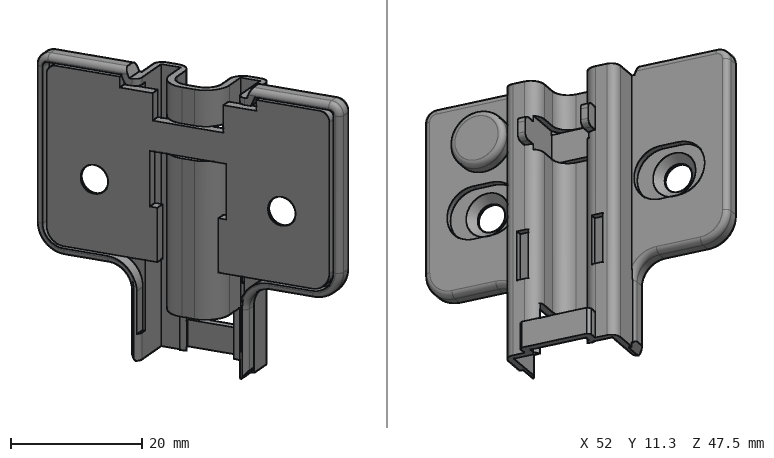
import cadquery as cq
width = 52.0
height = 47.5
plate_depth = 3.5
wall = 1.15
edge_radius = 1.0
over = 5.2

plate_half = width / 2
plate_bottom = 15.15
neck_half = 9.95
top_corner_radius = 2.1
bottom_corner_radius = 4.8
neck_corner_radius = 3.8

rim = 1.25
neck_rim = 1.1
pocket_depth = plate_depth - wall
pocket_neck_radius = 4.95

box_half = 9.55
box_depth = 8.95
box_top = 45.85
box_corner_radius = 1.55
channel_half = box_half - wall
channel_depth = box_depth - wall

trough_half = 5.1
trough_wall = 1.3
trough_radius = 4.0
shoulder_radius = 2.3
trough_end = 8.55
wall_stub_outer_depth = 7.55
wall_stub_inner_depth = 7.65

notch_bottom_half = 10.0
notch_top_half = 10.7
notch_slope = (notch_top_half - notch_bottom_half) / (height - box_top)
notch_rim_half = 10.7

neck_chamfer_height = 1.25
neck_chamfer_width = 0.95

insert_half = 24.1
insert_depth = 1.75
insert_bottom = 16.75
insert_top = 45.85
insert_top_radius = 1.55
insert_bottom_radius = 2.9
shallow_notch_half = 11.65
shallow_notch_bottom = 44.1
bridge_bottom = 34.65
bridge_top = 39.6
slot_half = 5.2
wide_slot_half = 6.5
wide_slot_bottom = 25.6
upper_slot_half = 6.05

lug_outer = 6.05
lug_thickness = 1.3
lug_inner = lug_outer - lug_thickness
lug_bottom = 35.1
lug_top = 39.0
lug_back = 11.3
lug_radius = 1.05

window_gap = 0.34

bar_height = 4.35
bar_back = 10.8
bar_thickness = 1.3
bar_chamfer = 0.495

opening_inner = 5.4
opening_outer = 7.35
opening_bottom = 12.55
opening_top = 20.8

hole_x = 15.95
hole_z = 28.45
screw_hole_radius = 2.35
screw_hole_length = 0.45
countersink_radius = 3.65
clearance_slot_radius = 4.45
clearance_slot_length = 12.05
boss_x = 15.7
boss_z = 39.6
boss_radius = 4.7
boss_back = 6.1


def block(x0, x1, y0, y1, z0, z1):
    """Box between two opposite corners."""
    return cq.Workplane("XY").box(x1 - x0, y1 - y0, z1 - z0, centered=False).translate((x0, y0, z0))


def along_y(sketch, y0, y1):
    """Extrude a closed XZ outline from depth y0 to depth y1."""
    return sketch.extrude(y0 - y1).translate((0, y0, 0))


def cylinder_y(x, z, radius, y0, y1):
    """Cylinder along Y."""
    return along_y(cq.Workplane("XZ").center(x, z).circle(radius), y0, y1)


def plate_outline(half, bottom, top, neck, neck_end, top_radius, bottom_radius, neck_radius):
    """Symmetric outline of a wide plate with rounded corners and a narrow neck below it."""
    return (
        cq.Workplane("XZ")
        .moveTo(0, top)
        .lineTo(half - top_radius, top)
        .radiusArc((half, top - top_radius), top_radius)
        .lineTo(half, bottom + bottom_radius)
        .radiusArc((half - bottom_radius, bottom), bottom_radius)
        .lineTo(neck + neck_radius, bottom)
        .radiusArc((neck, bottom - neck_radius), -neck_radius)
        .lineTo(neck, neck_end)
        .lineTo(0, neck_end)
        .mirrorY()
    )


def rounded_plate():
    """Plate with rounded front and back edges; the neck runs on below the part's lower end."""
    outline = plate_outline(
        plate_half, plate_bottom, height, neck_half, -over,
        top_corner_radius, bottom_corner_radius, neck_corner_radius,
    )
    plate = along_y(outline, 0, plate_depth)
    return plate.faces("<Y or >Y").edges().fillet(edge_radius)


def channel_box():
    """Outside of the channel, rounded along its two back edges."""
    box = block(-box_half, box_half, edge_radius, box_depth, 0, box_top)
    return box.faces(">Y").edges("|Z").fillet(box_corner_radius)


def channel_space():
    """Inside of the channel, flared at the front so that the feet of its walls are rounded."""
    return (
        cq.Workplane("XY", origin=(0, 0, -over))
        .moveTo(0, channel_depth)
        .lineTo(channel_half, channel_depth)
        .lineTo(channel_half, wall)
        .radiusArc((box_half, 0), -wall)
        .lineTo(0, 0)
        .mirrorY()
        .extrude(height + 2 * over)
    )


def pocket():
    """Recess for the insert; it leaves a rim all round and along the notch in the top."""
    outline = plate_outline(
        plate_half - rim, plate_bottom + rim, height - rim, neck_half - neck_rim, bar_height,
        top_corner_radius - rim, bottom_corner_radius - rim, pocket_neck_radius,
    )
    return along_y(outline, 0, pocket_depth).cut(notch_cut(notch_rim_half, box_top - wall))


def notch_cut(bottom_half, bottom):
    """Trapezoid cutter from the given level up to the top, as steep as the ends of the top rim."""
    top_half = bottom_half + notch_slope * (height - bottom)
    outline = cq.Workplane("XZ").polyline(
        [(-bottom_half, bottom), (bottom_half, bottom), (top_half, height), (-top_half, height)]
    ).close()
    return along_y(outline, 0, plate_depth)


def trough_outside():
    """Outer shape of the trough, from the front to the back of the channel."""
    prism = block(-trough_half, trough_half, 0, box_depth, 0, box_top)
    return prism.faces("<Y").edges("|Z").fillet(trough_radius)


def trough_space():
    """Open space inside the trough, widening over rounded shoulders at the back."""
    half = trough_half - trough_wall
    radius = trough_radius - trough_wall
    return (
        cq.Workplane("XY")
        .moveTo(0, trough_wall)
        .lineTo(half - radius, trough_wall)
        .radiusArc((half, trough_wall + radius), -radius)
        .lineTo(half, box_depth - shoulder_radius)
        .radiusArc((half + shoulder_radius, box_depth), shoulder_radius)
        .lineTo(0, box_depth)
        .mirrorY()
        .extrude(box_top)
    )


def trough_end_cut():
    """Cutter that removes the trough near the lower end, up to stubs of its walls at the back."""
    half = trough_half - trough_wall
    return (
        cq.Workplane("XY")
        .moveTo(0, 0)
        .lineTo(trough_half, 0)
        .lineTo(trough_half, wall_stub_outer_depth)
        .lineTo(half, wall_stub_inner_depth)
        .lineTo(0, wall_stub_inner_depth)
        .mirrorY()
        .extrude(trough_end)
    )


def neck_chamfer_cut():
    """Cutter for the sloping lower corner of the neck on the +X side."""
    outline = cq.Workplane("XZ").polyline(
        [(neck_half, neck_chamfer_height), (neck_half - neck_chamfer_width, 0), (neck_half, 0)]
    ).close()
    return along_y(outline, 0, plate_depth)


def clip_bar():
    """Bar behind the trough, standing on a leg at each end."""
    bar = block(-lug_outer, lug_outer, channel_depth, bar_back, 0, bar_height)
    bar = bar.faces(">Y").edges("|Z").chamfer(bar_chamfer)
    return bar.cut(block(-lug_inner, lug_inner, 0, bar_back - bar_thickness, 0, bar_height))


def lug():
    """Lug on the back of the channel on the +X side."""
    blank = block(lug_inner, lug_outer, channel_depth, lug_back, lug_bottom, lug_top)
    return blank.faces(">Y").edges("|X").fillet(lug_radius)


def make_housing():
    body = rounded_plate().union(channel_box())
    body = body.cut(channel_space()).cut(pocket()).cut(notch_cut(notch_bottom_half, box_top))
    body = body.cut(block(-width, width, -over, box_depth, -2 * over, 0))
    body = body.union(trough_outside()).cut(trough_space()).cut(trough_end_cut())
    body = body.union(lug()).union(lug().mirror("YZ")).union(clip_bar())

    body = body.cut(
        block(-lug_inner, lug_inner, 0, box_depth, bridge_bottom - window_gap, bridge_top + window_gap)
    )

    boss = cylinder_y(boss_x, boss_z, boss_radius, pocket_depth, boss_back)
    body = body.union(boss.faces(">Y").edges().fillet(edge_radius))

    opening = block(opening_inner, opening_outer, pocket_depth, box_depth, opening_bottom, opening_top)
    clearance = along_y(
        cq.Workplane("XZ").center(hole_x, hole_z).slot2D(clearance_slot_length, 2 * clearance_slot_radius),
        pocket_depth,
        plate_depth,
    )
    for cutter in (opening, clearance, neck_chamfer_cut()):
        body = body.cut(cutter).cut(cutter.mirror("YZ"))
    return body


def screw_hole():
    """Cutter for a hole along Y that widens to a countersink at the back."""
    return (
        cq.Workplane("XY")
        .polyline([
            (0, 0),
            (screw_hole_radius, 0),
            (screw_hole_radius, screw_hole_length),
            (countersink_radius, insert_depth),
            (0, insert_depth),
        ])
        .close()
        .revolve(360, (0, 0, 0), (0, 1, 0))
    )


def make_insert():
    plate = block(-insert_half, insert_half, 0, insert_depth, insert_bottom, insert_top)
    plate = plate.faces(">Z").edges("|Y").fillet(insert_top_radius)
    plate = plate.faces("<Z").edges("|Y").fillet(insert_bottom_radius)
    cut_outs = [
        (shallow_notch_half, shallow_notch_bottom, insert_top),
        (upper_slot_half, bridge_top, insert_top),
        (wide_slot_half, wide_slot_bottom, bridge_bottom),
        (slot_half, insert_bottom, bridge_bottom),
    ]
    for half, bottom, top in cut_outs:
        plate = plate.cut(block(-half, half, 0, insert_depth, bottom, top))
    for x in (-hole_x, hole_x):
        plate = plate.cut(screw_hole().translate((x, 0, hole_z)))
    return plate


housing = make_housing()
insert = make_insert()

result = cq.Compound.makeCompound([housing.val(), insert.val()])